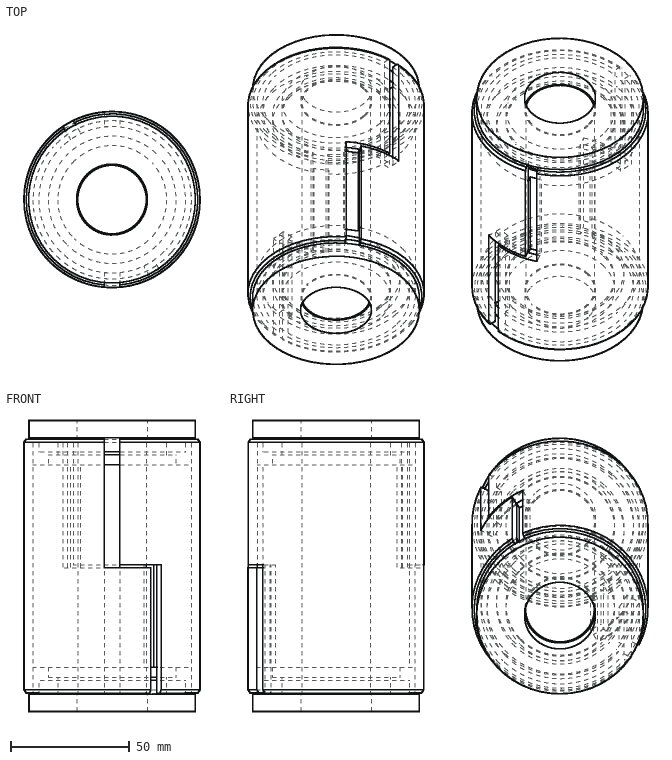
import cadquery as cq
import math

total_length = 123.14
end_z = total_length / 2

shell_radius = 37.26
shell_bore_radius = 33.5
shell_end_z = 53.7
shell_chamfer_radial = 1.0
shell_chamfer_axial = 1.3
step_gap = 1.3

core_end_z = 42.8
core_shoulder_radius = 27.0
core_shoulder_z = 47.0
core_neck_radius = 23.0
bore_radius = 14.5

collar_radius = 31.0
collar_inner_z = 48.3

cap_radius = 35.25
cap_bore_radius = 15.0
cap_inner_z = 54.2

wide_slot = 6.4
narrow_slot = 5.0
slot_floor = 31.0
wide_slot_angle = -90
narrow_slot_angle = -60
slot_margin = 5.0


def ring(outer_radius, inner_radius, z_low, z_high):
    """Tube about the Z axis between two heights."""
    return (
        cq.Workplane("XY")
        .workplane(offset=z_low)
        .circle(outer_radius)
        .circle(inner_radius)
        .extrude(z_high - z_low)
    )


def slot_cutter(width, angle, end):
    """Flat-floored slot at an angle, open at one end (+1 top, -1 bottom) and crossing the step gap."""
    blind_z = -end * step_gap / 2
    open_z = end * (shell_end_z + slot_margin)
    length = shell_radius + slot_margin - slot_floor
    return (
        cq.Workplane("XY")
        .box(length, width, abs(open_z - blind_z), centered=(False, True, True))
        .translate((slot_floor, 0, (open_z + blind_z) / 2))
        .rotate((0, 0, 0), (0, 0, 1), angle)
    )


def step_cutter(start_angle, end_angle):
    """Thin wedge at mid height that joins a top slot to a bottom slot."""
    reach = 2 * shell_radius
    corners = [
        (reach * math.cos(math.radians(angle)), reach * math.sin(math.radians(angle)))
        for angle in (start_angle, end_angle)
    ]
    return (
        cq.Workplane("XY")
        .workplane(offset=-step_gap / 2)
        .polyline([(0, 0)] + corners)
        .close()
        .extrude(step_gap)
    )


slots = []
for turn, end in ((0, 1), (180, -1)):
    slots.append(slot_cutter(wide_slot, wide_slot_angle + turn, end))
    slots.append(slot_cutter(narrow_slot, narrow_slot_angle + turn, -end))

shell_profile = [
    (shell_bore_radius, -shell_end_z),
    (shell_radius - shell_chamfer_radial, -shell_end_z),
    (shell_radius, shell_chamfer_axial - shell_end_z),
    (shell_radius, shell_end_z - shell_chamfer_axial),
    (shell_radius - shell_chamfer_radial, shell_end_z),
    (shell_bore_radius, shell_end_z),
]
shell_halves = cq.Workplane("XZ").polyline(shell_profile).close().revolve(360, (0, 0), (0, 1))
for slot in slots:
    shell_halves = shell_halves.cut(slot)
for turn in (0, 180):
    shell_halves = shell_halves.cut(step_cutter(wide_slot_angle + turn, narrow_slot_angle + turn))

core = ring(shell_bore_radius, bore_radius, -core_end_z, core_end_z)
core = core.union(ring(core_shoulder_radius, bore_radius, -core_shoulder_z, core_shoulder_z))
core = core.union(ring(core_neck_radius, bore_radius, -cap_inner_z, cap_inner_z))
for slot in slots:
    core = core.cut(slot)


def make_collar():
    """Top collar: a plain disc fitted over the core neck, against the cap."""
    return ring(collar_radius, core_neck_radius, collar_inner_z, cap_inner_z)


def make_cap():
    """Top end cap: a plain disc with a slightly larger bore."""
    return ring(cap_radius, cap_bore_radius, cap_inner_z, end_z)


end_parts = []
for make_end_part in (make_collar, make_cap):
    top_part = make_end_part()
    end_parts.append(top_part.val())
    end_parts.append(top_part.mirror("XY").val())

result = cq.Compound.makeCompound([*shell_halves.solids().vals(), core.val(), *end_parts])